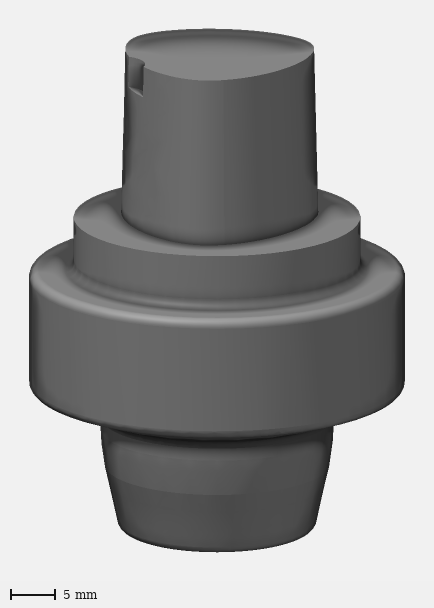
import cadquery as cq
import math

total_height = 55.0
disc_top = 30.0
flange_top = 36.0
spigot_barrel_start = 7.3
spigot_land_start = 11.4

disc_radius = 42.0 / 2
flange_radius = 32.0 / 2
spigot_radius = 26.0 / 2

spigot_cone_angle = math.radians(12.5)

underside_angle = math.radians(20.0)
underside_start = 13.5

edge_radius = 1.0
match_tolerance = 1e-4

polygon_mean_diameter = 22.0
polygon_eccentricity = 0.7
polygon_taper_angle = math.radians(1.4)
lobe_count = 3
lobe_direction = math.radians(90.0)
lobe_half_angle = math.radians(22.5)
points_per_stretch = 9

notch_depth = 3.5
notch_radius = 3.4
notch_innermost_y = -8.87


def is_corner_rim(radius, height):
    """Test for the circular edge of the given radius at the given height."""

    def matches(edge):
        radius_error = abs(edge.radius() - radius)
        height_error = abs(edge.Center().z - height)
        return max(radius_error, height_error) < match_tolerance

    return matches


def make_round_body():
    """Spigot, disc and flange as one revolved profile with rounded corners."""
    barrel_height = spigot_land_start - spigot_barrel_start
    barrel_radius = barrel_height / math.sin(spigot_cone_angle)

    def barrel_point(angle):
        return (
            spigot_radius - barrel_radius * (1 - math.cos(angle)),
            spigot_land_start - barrel_radius * math.sin(angle),
        )

    barrel_end = barrel_point(spigot_cone_angle)
    foot_radius = barrel_end[0] - spigot_barrel_start * math.tan(spigot_cone_angle)
    underside_rise = (disc_radius - spigot_radius) * math.tan(underside_angle)
    profile = (
        cq.Workplane("XZ")
        .moveTo(0, 0)
        .lineTo(foot_radius, 0)
        .lineTo(*barrel_end)
        .threePointArc(barrel_point(spigot_cone_angle / 2), (spigot_radius, spigot_land_start))
        .lineTo(spigot_radius, underside_start)
        .lineTo(disc_radius, underside_start + underside_rise)
        .lineTo(disc_radius, disc_top)
        .lineTo(flange_radius, disc_top)
        .lineTo(flange_radius, flange_top)
        .lineTo(0, flange_top)
        .close()
    )
    body = profile.revolve(360, (0, 0, 0), (0, 1, 0))

    rounded_corners = [
        (foot_radius, 0),
        (spigot_radius, underside_start),
        (disc_radius, underside_start + underside_rise),
        (disc_radius, disc_top),
        (flange_radius, disc_top),
    ]
    for radius, height in rounded_corners:
        body = body.edges("%CIRCLE").filter(is_corner_rim(radius, height)).fillet(edge_radius)
    return body


def polygon_section(height):
    """Closed three-lobed outline of the shank at the given height."""
    inset = (height - flange_top) * math.tan(polygon_taper_angle)
    mean_radius = polygon_mean_diameter / 2 - inset

    def outline_point(angle):
        reach = mean_radius + polygon_eccentricity * math.cos(lobe_count * angle)
        slide = -lobe_count * polygon_eccentricity * math.sin(lobe_count * angle)
        normal = angle + lobe_direction
        return cq.Vector(
            reach * math.cos(normal) - slide * math.sin(normal),
            reach * math.sin(normal) + slide * math.cos(normal),
            height,
        )

    def stretch(start, end):
        step = (end - start) / (points_per_stretch - 1)
        points = [outline_point(start + i * step) for i in range(points_per_stretch)]
        tangents = [
            cq.Vector(-math.sin(angle + lobe_direction), math.cos(angle + lobe_direction), 0)
            for angle in (start, end)
        ]
        return cq.Edge.makeSpline(points, tangents=tangents)

    lobe_pitch = 2 * math.pi / lobe_count
    edges = []
    for i in range(lobe_count):
        lobe_start = i * lobe_pitch - lobe_half_angle
        lobe_end = i * lobe_pitch + lobe_half_angle
        edges.append(stretch(lobe_start, lobe_end))
        edges.append(stretch(lobe_end, lobe_start + lobe_pitch))
    return cq.Wire.assembleEdges(edges)


def make_shank():
    """Tapered polygon shank standing on the flange."""
    sections = [polygon_section(flange_top), polygon_section(total_height)]
    return cq.Workplane(cq.Solid.makeLoft(sections, True))


def make_notch():
    """Upright round cutter that scoops the notch out of the -Y flank."""
    notch_floor = total_height - notch_depth
    return (
        cq.Workplane("XY", origin=(0, notch_innermost_y - notch_radius, notch_floor))
        .circle(notch_radius)
        .extrude(notch_depth)
    )


result = make_round_body().union(make_shank()).cut(make_notch())